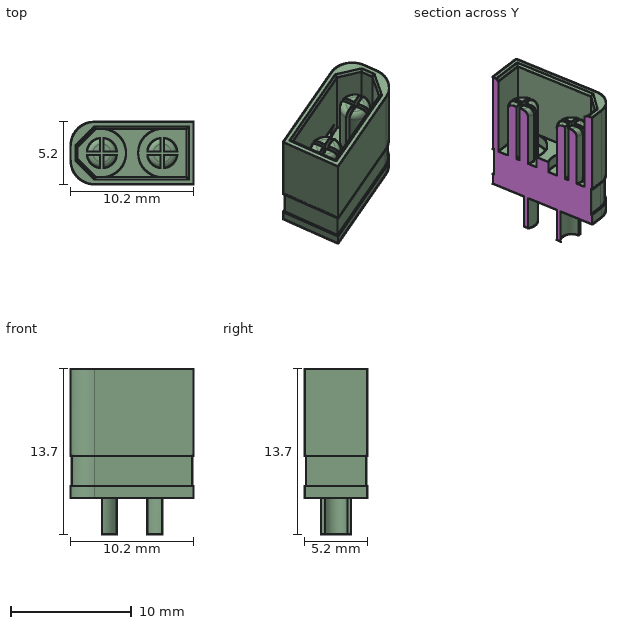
import cadquery as cq

length = 10.2
width = 5.2
corner_radius = 2.0
flange_top = 1.0
waist_top = 3.5
housing_top = 10.7
waist_inset = 0.1

rim_width = 0.4
rim_chamfer = 0.2
socket_floor = 3.5
wall = rim_width + rim_chamfer
socket_half_width = width / 2 - wall
corner_cut = 1.6

bridge_height = 1.0

pin_spacing = 5.0
pin_centers = [(-pin_spacing / 2, 0), (pin_spacing / 2, 0)]
pin_diameter = 2.5
pin_top = 8.7
pin_tip_radius = 0.5
slot_width = 0.3
cup_length = 3.0
cup_bore = 1.85


def rounded_block(inset, bottom, top):
    """Housing section whose -X vertical edges are rounded."""
    block = cq.Workplane("XY").workplane(offset=bottom).rect(length - 2 * inset, width - 2 * inset)
    return block.extrude(top - bottom).edges("|Z and <X").fillet(corner_radius - inset)


def socket_profile(inset, height):
    """Socket mouth outline, -X corners cut at 45 degrees, shrunk by the inset."""
    x_max = length / 2 - rim_width
    y_max = width / 2 - rim_width
    outline = (
        cq.Workplane("XY")
        .workplane(offset=height)
        .moveTo(x_max, -y_max)
        .lineTo(x_max, y_max)
        .lineTo(corner_cut - x_max, y_max)
        .lineTo(-x_max, y_max - corner_cut)
        .lineTo(-x_max, corner_cut - y_max)
        .lineTo(corner_cut - x_max, -y_max)
        .close()
    )
    return outline.offset2D(-inset) if inset else outline


def make_housing():
    """Solid housing: flange, slightly narrower waist and main body."""
    housing = rounded_block(0, 0, flange_top)
    housing = housing.union(rounded_block(waist_inset, flange_top, waist_top))
    return housing.union(rounded_block(0, waist_top, housing_top))


def make_socket():
    """Volume of the socket, widening through the rim chamfer at its mouth."""
    socket = socket_profile(rim_chamfer, socket_floor).extrude(housing_top - socket_floor)
    chamfer_bottom = housing_top - rim_chamfer
    lower = socket_profile(rim_chamfer, chamfer_bottom).wires().val()
    upper = socket_profile(0, housing_top).wires().val()
    return socket.union(cq.Workplane(cq.Solid.makeLoft([lower, upper], True)))


def make_bridge():
    """Raised middle of the socket floor, hollowed by an arc around each pin."""
    bridge = cq.Workplane("XY").workplane(offset=socket_floor)
    bridge = bridge.rect(pin_spacing, 2 * socket_half_width).extrude(bridge_height)
    hollows = cq.Workplane("XY").workplane(offset=socket_floor)
    hollows = hollows.pushPoints(pin_centers).circle(socket_half_width).extrude(bridge_height)
    return bridge.cut(hollows)


def make_pin(center):
    """Round-tipped contact pin, split into quarters down to the socket floor."""
    pin = cq.Workplane("XY").workplane(offset=socket_floor).center(*center)
    pin = pin.circle(pin_diameter / 2).extrude(pin_top - socket_floor)
    pin = pin.faces(">Z").edges().fillet(pin_tip_radius)
    for x_size, y_size in ((pin_diameter, slot_width), (slot_width, pin_diameter)):
        slot = cq.Workplane("XY").workplane(offset=socket_floor).center(*center)
        pin = pin.cut(slot.rect(x_size, y_size).extrude(pin_top - socket_floor))
    return pin


def make_solder_cups():
    """Half tubes below the housing; each keeps the half facing the part's middle."""
    tubes = cq.Workplane("XY").pushPoints(pin_centers)
    tubes = tubes.circle(pin_diameter / 2).extrude(-cup_length)
    bores = cq.Workplane("XY").pushPoints(pin_centers).circle(cup_bore / 2).extrude(-cup_length)
    inner_half = cq.Workplane("XY").rect(pin_spacing, width).extrude(-cup_length)
    return tubes.cut(bores).intersect(inner_half)


result = make_housing().cut(make_socket()).union(make_bridge())
for pin_center in pin_centers:
    result = result.union(make_pin(pin_center))
result = result.union(make_solder_cups()).clean()